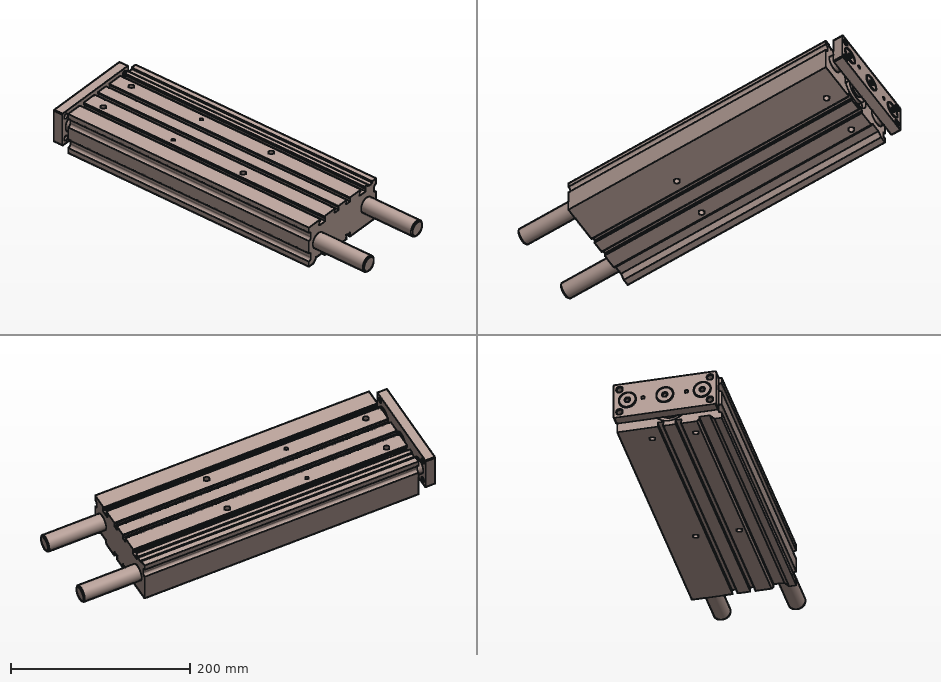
import cadquery as cq
import math


total_length = 438.0
body_width = 120.0
body_height = 54.0
half_width = body_width / 2
half_height = body_height / 2

plate_thickness = 12.0
plate_width = 118.0
plate_height = 44.0
plate_edge_chamfer = 1.0
plate_hole_diameter = 6.4
plate_hole_countersink = 0.8
plate_hole_countersink_angle = 90.0
plate_hole_y = 52.0
plate_hole_z = 15.0
plate_pin_hole_diameter = 4.0
plate_pin_hole_y = 25.0

housing_start = 21.5
housing_length = 344.0

guide_diameter = 20.0
guide_y = 43.0
guide_end_chamfer = 1.35
rod_front_chamfer = 0.8

piston_diameter = 16.0
piston_head_diameter = guide_diameter
piston_insertion = 20.0

socket_diameter = 5.0
socket_countersink = 0.8
socket_depth = 8.0
drill_tip_angle = 118.0

collar_diameter = 28.5
collar_protrusion = 1.5
collar_insertion = 8.0

recess_diameter = 42.0
recess_depth = 5.0

mount_hole_diameter = 6.6
mount_first_x = 43.6
mount_pitch_x = 200.0
mount_hole_y = 25.0
mount_pin_hole_diameter = 4.0
mount_pin_hole_depth = 6.0

t_slot_y = 36.0
t_slot_mouth = 7.0
t_slot_lip = 2.5
t_slot_cavity = 10.4
t_slot_depth = 7.5

narrow_slot_y = 10.25
narrow_slot_mouth = 5.8
narrow_slot_lip = 1.5
narrow_slot_cavity = 6.8
narrow_slot_depth = 5.5

side_groove_z = 14.2
side_groove_width = 11.3
side_groove_floor = 4.0
side_groove_radius = (side_groove_width - side_groove_floor) / 2

v_groove_y = 48.7
v_groove_width = 8.3
v_groove_wall = 2.05
v_groove_depth = 3.25

bottom_groove_inner_y = -31.7
bottom_groove_outer_y = -51.8
bottom_groove_bevel = 2.5
bottom_groove_depth = 5.5


def along_x(start):
    """Sketch plane across the stroke: local x is Y, local y is Z."""
    return cq.Workplane("YZ", origin=(start, 0, 0))


def cylinder(start, end, diameter, y=0.0):
    return along_x(start).center(y, 0).circle(diameter / 2).extrude(end - start)


def groove(points):
    """Cutter running the whole length of the housing."""
    return along_x(housing_start).polyline(points).close().extrude(housing_length)


def undercut_slot(y, side, mouth, lip, cavity, depth):
    """Slot in the top (side = 1) or bottom (side = -1) face, wider below its lip."""
    lip_z = side * (half_height - lip)
    top_z = side * half_height
    floor_z = side * (half_height - depth)
    return groove(
        [
            (y - mouth / 2, top_z),
            (y + mouth / 2, top_z),
            (y + mouth / 2, lip_z),
            (y + cavity / 2, lip_z),
            (y + cavity / 2, floor_z),
            (y - cavity / 2, floor_z),
            (y - cavity / 2, lip_z),
            (y - mouth / 2, lip_z),
        ]
    )


def side_groove(side, z):
    """Groove in the +Y (side = 1) or -Y face with quarter-round walls running into a flat floor."""
    r = side_groove_radius
    mid = r * (1 - math.sqrt(0.5))
    face_y = side * half_width
    floor_y = face_y - side * r
    arc_y = face_y - side * r * math.sqrt(0.5)
    low = z - side_groove_width / 2
    high = z + side_groove_width / 2
    return (
        along_x(housing_start)
        .moveTo(face_y, low)
        .threePointArc((arc_y, low + mid), (floor_y, low + r))
        .lineTo(floor_y, high - r)
        .threePointArc((arc_y, high - mid), (face_y, high))
        .close()
        .extrude(housing_length)
    )


def v_groove():
    low_y = v_groove_y - v_groove_width / 2
    high_y = v_groove_y + v_groove_width / 2
    wall_z = half_height - v_groove_wall
    return groove(
        [
            (low_y, half_height),
            (low_y, wall_z),
            (v_groove_y, half_height - v_groove_depth),
            (high_y, wall_z),
            (high_y, half_height),
        ]
    )


def bottom_groove():
    """One side has a short bevel and an upright wall, the other slopes at 45 degrees to the floor."""
    inner_wall_y = bottom_groove_inner_y - bottom_groove_bevel
    floor_z = -half_height + bottom_groove_depth
    return groove(
        [
            (bottom_groove_inner_y, -half_height),
            (inner_wall_y, -half_height + bottom_groove_bevel),
            (inner_wall_y, floor_z),
            (bottom_groove_outer_y + bottom_groove_depth, floor_z),
            (bottom_groove_outer_y, -half_height),
        ]
    )


def socket():
    """Drilled and countersunk hole on the X axis, opening at X = 0, as a cutter."""
    r = socket_diameter / 2
    tip = r / math.tan(math.radians(drill_tip_angle / 2))
    return (
        cq.Workplane("XY")
        .polyline(
            [
                (0, 0),
                (0, r + socket_countersink),
                (socket_countersink, r),
                (socket_depth, r),
                (socket_depth + tip, 0),
            ]
        )
        .close()
        .revolve(360, (0, 0, 0), (1, 0, 0))
    )


def make_guide_rod(y):
    rod = cylinder(0, total_length, guide_diameter, y)
    rod = rod.faces("<X").chamfer(rod_front_chamfer).faces(">X").chamfer(guide_end_chamfer)
    return rod.cut(socket().translate((0, y, 0)))


def make_piston_rod():
    head = cylinder(0, plate_thickness, piston_head_diameter).faces("<X").chamfer(rod_front_chamfer)
    shaft = cylinder(plate_thickness, housing_start + piston_insertion, piston_diameter)
    return head.union(shaft).cut(socket())


def make_collar():
    start = housing_start - collar_protrusion
    end = housing_start + collar_insertion
    return cylinder(start, end, collar_diameter).cut(cylinder(start, end, piston_diameter))


def make_plate():
    plate = along_x(0).rect(plate_width, plate_height).extrude(plate_thickness)
    plate = plate.edges("|X").chamfer(plate_edge_chamfer)
    for y in (-guide_y, 0, guide_y):
        plate = plate.cut(cylinder(0, plate_thickness, guide_diameter, y))
    for y in (-plate_pin_hole_y, plate_pin_hole_y):
        plate = plate.cut(cylinder(0, plate_thickness, plate_pin_hole_diameter, y))
    countersink_diameter = plate_hole_diameter + 2 * plate_hole_countersink
    return (
        plate.faces("<X")
        .workplane(origin=(0, 0, 0))
        .rect(2 * plate_hole_y, 2 * plate_hole_z, forConstruction=True)
        .vertices()
        .cskHole(plate_hole_diameter, countersink_diameter, plate_hole_countersink_angle)
    )


def make_housing():
    end = housing_start + housing_length
    housing = along_x(housing_start).rect(body_width, body_height).extrude(housing_length)

    for y in (-t_slot_y, t_slot_y):
        housing = housing.cut(
            undercut_slot(y, 1, t_slot_mouth, t_slot_lip, t_slot_cavity, t_slot_depth)
        )
    for y in (-narrow_slot_y, narrow_slot_y):
        for side in (-1, 1):
            housing = housing.cut(
                undercut_slot(
                    y, side, narrow_slot_mouth, narrow_slot_lip, narrow_slot_cavity, narrow_slot_depth
                )
            )
    for side, z in ((-1, -side_groove_z), (-1, side_groove_z), (1, side_groove_z)):
        housing = housing.cut(side_groove(side, z))
    housing = housing.cut(v_groove()).cut(bottom_groove())

    housing = housing.cut(cylinder(housing_start, housing_start + recess_depth, recess_diameter))
    for y in (-guide_y, guide_y):
        housing = housing.cut(cylinder(housing_start, end, guide_diameter, y))
    housing = housing.cut(
        cylinder(housing_start, housing_start + piston_insertion, piston_diameter)
    )
    housing = housing.cut(
        cylinder(housing_start, housing_start + collar_insertion, collar_diameter)
    )

    for y in (-mount_hole_y, mount_hole_y):
        top = cq.Workplane("XY", origin=(mount_first_x, y, half_height))
        housing = housing.cut(
            top.pushPoints([(0, 0), (mount_pitch_x, 0)])
            .circle(mount_hole_diameter / 2)
            .extrude(-body_height)
        )
        housing = housing.cut(
            top.center(mount_pitch_x / 2, 0)
            .circle(mount_pin_hole_diameter / 2)
            .extrude(-mount_pin_hole_depth)
        )
    return housing


housing = make_housing()
plate = make_plate()
collar = make_collar()
piston_rod = make_piston_rod()
guide_rods = [make_guide_rod(y) for y in (-guide_y, guide_y)]

result = cq.Compound.makeCompound(
    [housing.val(), plate.val(), collar.val(), piston_rod.val(), *[rod.val() for rod in guide_rods]]
)